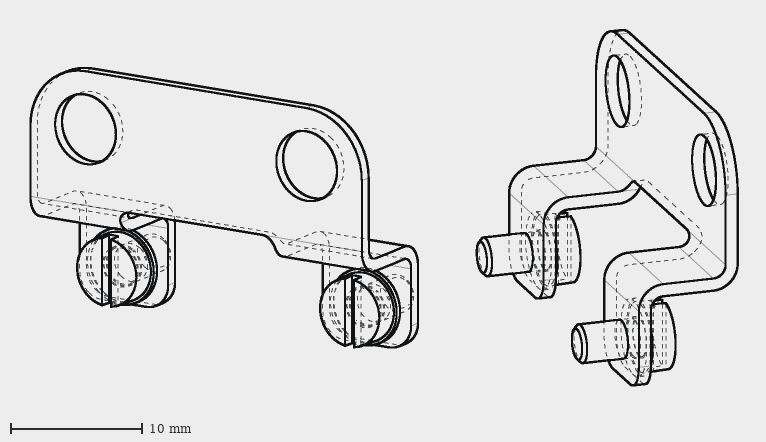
import cadquery as cq

width = 30.0
height = 20.1
bracket_depth = 8.0
sheet = 1.0
bend_inner_radius = 1.0
shelf_top = 8.5
upper_corner_radius = 5.0
mount_hole_diameter = 5.5
mount_hole_spacing = 20.0
mount_hole_height = 15.5
leg_width = 8.0
leg_corner_radius = 2.0
window_corner_radius = 1.0

screw_spacing = 22.0
shank_diameter = 3.0
shank_protrusion = 3.6
tip_chamfer = 0.3
head_base_diameter = 5.5
head_face_diameter = 5.37
head_height = 1.98
slot_width = 0.8
slot_depth = 1.0
washer_diameter = 6.0
washer_thickness = 0.48
washer_bore = 3.2
screw_height = washer_diameter / 2

bend_outer_radius = bend_inner_radius + sheet
leg_back = bracket_depth
leg_front = leg_back - sheet
head_seat = leg_front - washer_thickness
head_face = head_seat - head_height
shank_tip = leg_back + shank_protrusion
shelf_bottom = shelf_top - sheet
window_top = shelf_bottom + bend_outer_radius
mount_hole_places = [-mount_hole_spacing / 2, mount_hole_spacing / 2]
screw_places = [-screw_spacing / 2, screw_spacing / 2]


def rod(diameter, y_start, y_end, x=0.0, z=0.0):
    """Cylinder along Y."""
    return (
        cq.Workplane("XZ", origin=(x, y_start, z))
        .circle(diameter / 2)
        .extrude(y_start - y_end)
    )


def bend_edge(y, z):
    return cq.selectors.NearestToPointSelector((0, y, z))


def bent_sheet():
    """Z-shaped sheet: upper plate in front, shelf, and lower plate behind."""
    blank = (
        cq.Workplane("YZ", origin=(-width / 2, 0, 0))
        .moveTo(0, height)
        .lineTo(0, shelf_bottom)
        .lineTo(leg_front, shelf_bottom)
        .lineTo(leg_front, 0)
        .lineTo(leg_back, 0)
        .lineTo(leg_back, shelf_top)
        .lineTo(sheet, shelf_top)
        .lineTo(sheet, height)
        .close()
        .extrude(width)
    )

    for y, z, radius in [
        (0, shelf_bottom, bend_outer_radius),
        (sheet, shelf_top, bend_inner_radius),
        (leg_front, shelf_bottom, bend_inner_radius),
        (leg_back, shelf_top, bend_outer_radius),
    ]:
        blank = blank.edges("|X").edges(bend_edge(y, z)).fillet(radius)
    return blank


def front_outline():
    """Prism along Y that trims the sheet to its rounded outline with two legs."""
    plate = (
        cq.Workplane("XZ")
        .rect(width, height)
        .extrude(-bracket_depth)
        .translate((0, 0, height / 2))
        .edges("|Y and >Z").fillet(upper_corner_radius)
    )
    window = (
        cq.Workplane("XZ")
        .rect(width - 2 * leg_width, 2 * window_top)
        .extrude(-bracket_depth)
        .edges("|Y and >Z").fillet(window_corner_radius)
    )
    return plate.cut(window).edges("|Y and <Z").fillet(leg_corner_radius)


def make_bracket():
    """Bent sheet with two mounting holes above and a screw hole in each leg."""
    bracket = bent_sheet().intersect(front_outline())
    for x in mount_hole_places:
        bracket = bracket.cut(rod(mount_hole_diameter, 0, sheet, x, mount_hole_height))
    for x in screw_places:
        bracket = bracket.cut(rod(shank_diameter, leg_front, leg_back, x, screw_height))
    return bracket


def make_washer(x):
    """Flat washer between the leg and the screw head."""
    disc = rod(washer_diameter, head_seat, leg_front, x, screw_height)
    return disc.cut(rod(washer_bore, head_seat, leg_front, x, screw_height))


def make_screw(x):
    """Slotted cheese-head screw with a slightly tapered head."""
    profile = (
        cq.Workplane("XY")
        .moveTo(0, head_face)
        .lineTo(head_face_diameter / 2, head_face)
        .lineTo(head_base_diameter / 2, head_seat)
        .lineTo(shank_diameter / 2, head_seat)
        .lineTo(shank_diameter / 2, shank_tip - tip_chamfer)
        .lineTo(shank_diameter / 2 - tip_chamfer, shank_tip)
        .lineTo(0, shank_tip)
        .close()
    )
    screw = profile.revolve(360, (0, 0, 0), (0, 1, 0))
    slot = (
        cq.Workplane("XY")
        .box(slot_width, slot_depth, head_base_diameter, centered=(True, False, True))
        .translate((0, head_face, 0))
    )
    return screw.cut(slot).translate((x, 0, screw_height))


bracket = make_bracket()
washers = [make_washer(x) for x in screw_places]
screws = [make_screw(x) for x in screw_places]

result = cq.Compound.makeCompound(
    [bracket.val()]
    + [washer.val() for washer in washers]
    + [screw.val() for screw in screws]
)